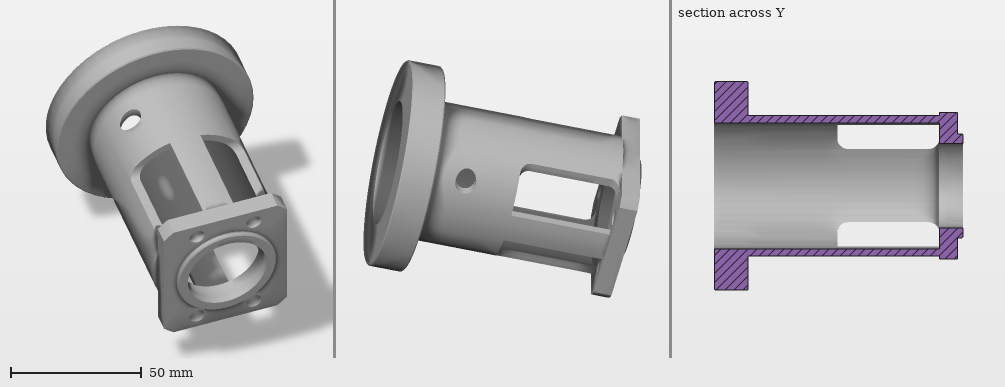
import cadquery as cq

flange_thickness = 13.0
window_start = 47.0
tube_end = 86.0
plate_end = 93.0
total_length = 95.0

flange_diameter = 80.0
tube_diameter = 54.0
tube_bore = 48.0
boss_diameter = 40.0
plate_bore = 32.0
edge_chamfer = 0.5

plate_width = 50.0
plate_height = 56.05
plate_corner_diameter = 70.0
plate_hole_diameter = 6.2
plate_hole_y = 11.5
plate_hole_z = 22.2

rib_width = 12.3
side_wall_height = 28.0
window_corner_radius = 4.0

cross_hole_diameter = 8.0
cross_hole_x = 27.0
cross_hole_y = -15.0


def disc(start, end, diameter):
    """Solid cylinder on the X axis between two stations."""
    return cq.Workplane("YZ", origin=(start, 0, 0)).circle(diameter / 2).extrude(end - start)


def make_end_plate():
    thickness = plate_end - tube_end
    blank = (
        cq.Workplane("YZ", origin=(tube_end, 0, 0))
        .rect(plate_width, plate_height)
        .extrude(thickness)
    )
    plate = blank.intersect(disc(tube_end, plate_end, plate_corner_diameter))
    holes = (
        cq.Workplane("YZ", origin=(tube_end, 0, 0))
        .rect(2 * plate_hole_y, 2 * plate_hole_z, forConstruction=True)
        .vertices()
        .circle(plate_hole_diameter / 2)
        .extrude(thickness)
    )
    return plate.cut(holes)


def make_window(side_y, side_z):
    """Cutter for one window; its edges along the side wall are rounded."""
    length = tube_end - window_start
    width = (tube_diameter - rib_width) / 2
    height = (tube_diameter - side_wall_height) / 2
    center = (
        (window_start + tube_end) / 2,
        side_y * (rib_width + width) / 2,
        side_z * (side_wall_height + height) / 2,
    )
    side_wall_edges = "|Y and <Z" if side_z > 0 else "|Y and >Z"
    return (
        cq.Workplane("XY")
        .box(length, width, height)
        .edges(side_wall_edges)
        .fillet(window_corner_radius)
        .translate(center)
    )


flange = disc(0, flange_thickness, flange_diameter).edges("%CIRCLE").chamfer(edge_chamfer)
body = flange.union(disc(0, tube_end, tube_diameter)).cut(disc(0, tube_end, tube_bore))

for side_y in (-1, 1):
    for side_z in (-1, 1):
        body = body.cut(make_window(side_y, side_z))

cross_hole = (
    cq.Workplane("XY")
    .center(cross_hole_x, cross_hole_y)
    .circle(cross_hole_diameter / 2)
    .extrude(tube_diameter / 2, both=True)
)
body = body.cut(cross_hole)

boss = disc(tube_end, total_length, boss_diameter).faces(">X").edges().chamfer(edge_chamfer)
end_cap = make_end_plate().union(boss).cut(disc(tube_end, total_length, plate_bore))

result = body.union(end_cap)